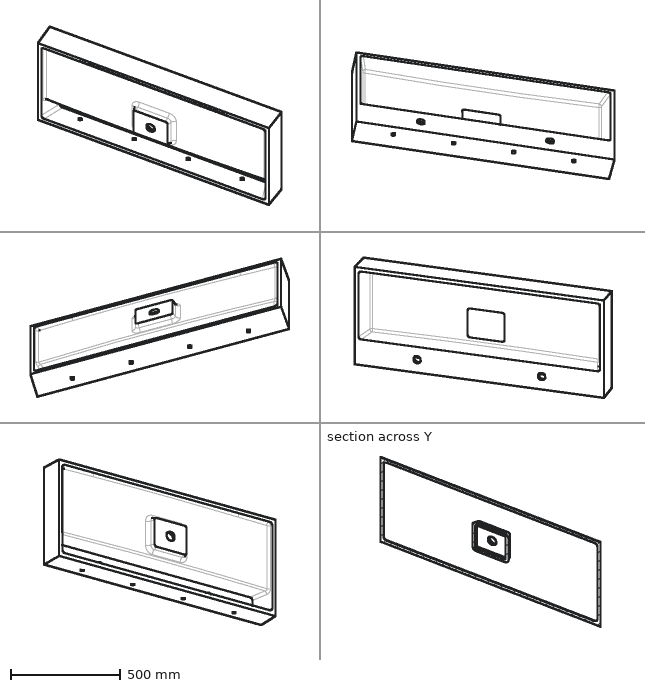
import cadquery as cq


WIDTH = 1202.0
DEPTH_Z = 486.0
HEIGHT = 120.0
SIDE_DRAFT = 2.0

OPENING_WIDTH = 1161.0
OPENING_DEPTH_Z = 442.0
OPENING_CORNER = 15.0
DECK_THICKNESS = 15.0
POCKET_DEPTH = HEIGHT - DECK_THICKNESS
POCKET_WIDTH = 1084.0

SHELL = 15.0
BOWL_DEPTH_AT_ENDS = 19.0
BOWL_DEPTH_AT_DRAIN = 8.0
BOWL_EDGE_Z = -114.0
BOWL_EDGE_AT_DECK_Z = -129.0
BOWL_TOP_WALL = 19.0
BOWL_EDGE_FILLET = 10.0
FLOOR_FILLET = 13.0
BOWL_CORNER_FILLET = 12.0

SUMP_FACE_WIDTH = 178.0
SUMP_FACE_DEPTH_Z = 144.0
SUMP_CENTRE_Z = -4.0
SUMP_DROP = 26.0
SUMP_DRAFT_ANGLE = 17
SUMP_CORNER = 12.0
SUMP_ROOT_FILLET = 20.0
DRAIN_DIAMETER = 45.0

COVER_THICKNESS = 7.0
COVER_LEDGE = 7.0

TAP_HOLE_DIAMETER = 35.0
TAP_HOLE_X = 300.0
TAP_HOLE_Z = -178.0
FIXING_HOLE_DIAMETER = 16.0
FIXING_HOLE_PITCH = 280.0
FIXING_HOLE_COUNT = 4
FIXING_HOLE_Y = 76.0

BOWL_FLOOR_Y = BOWL_DEPTH_AT_DRAIN + SHELL
SUMP_FLOOR_Y = SHELL - SUMP_DROP
SUMP_CAVITY_WIDTH = SUMP_FACE_WIDTH - SHELL
SUMP_CAVITY_DEPTH_Z = SUMP_FACE_DEPTH_Z - SHELL
SUMP_CAVITY_CORNER = SUMP_CORNER - SHELL / 2


def plane_at(y, z=0.0):
    """Plane parallel to XZ whose normal is +Y; its local y axis points to -Z."""
    return cq.Workplane(cq.Plane(origin=(0, y, z), xDir=(1, 0, 0), normal=(0, 1, 0)))


def rectangle(y, width, z_low, z_high):
    """Closed rectangle centred on x = 0 in the plane at height y."""
    half = width / 2
    corners = [(-half, y, z_low), (half, y, z_low), (half, y, z_high), (-half, y, z_high)]
    return cq.Wire.makePolygon([cq.Vector(*corner) for corner in corners], close=True)


def tapered_block(lower, upper):
    return cq.Workplane(cq.Solid.makeLoft([lower, upper], True))


def above_crowned_floor(offset, z_low, z_high):
    """Everything above the crowned bowl floor, raised by offset, between two Z values."""
    half = WIDTH / 2
    end_y = BOWL_DEPTH_AT_ENDS + offset
    return (
        cq.Workplane("XY", origin=(0, 0, z_low))
        .moveTo(-half, end_y)
        .threePointArc((0, BOWL_DEPTH_AT_DRAIN + offset), (half, end_y))
        .lineTo(half, HEIGHT)
        .lineTo(-half, HEIGHT)
        .close()
        .extrude(z_high - z_low)
    )


def outer_block():
    half_z = DEPTH_Z / 2
    return tapered_block(
        rectangle(0, WIDTH - 2 * SIDE_DRAFT, -half_z, half_z - SIDE_DRAFT),
        rectangle(HEIGHT, WIDTH, -half_z, half_z),
    )


def underside_recess():
    """Space inside the rim: shallow under the bowl, deep under the tap deck."""
    half_z = OPENING_DEPTH_Z / 2
    pocket = tapered_block(
        rectangle(0, OPENING_WIDTH, -half_z, half_z),
        rectangle(POCKET_DEPTH, POCKET_WIDTH, -half_z, half_z),
    )
    pocket = pocket.edges("not(#Y or |X or |Z)").fillet(OPENING_CORNER)
    bowl_side = tapered_block(
        rectangle(0, WIDTH, BOWL_EDGE_Z, DEPTH_Z),
        rectangle(HEIGHT, WIDTH, BOWL_EDGE_AT_DECK_Z, DEPTH_Z),
    )
    bowl = above_crowned_floor(0, -DEPTH_Z, DEPTH_Z).intersect(bowl_side)
    bowl_edge = cq.selectors.NearestToPointSelector((0, BOWL_DEPTH_AT_DRAIN, BOWL_EDGE_Z))
    bowl = bowl.edges(bowl_edge).fillet(BOWL_EDGE_FILLET)
    floor_rim = cq.selectors.BoxSelector(
        (-WIDTH, BOWL_DEPTH_AT_DRAIN / 2, BOWL_EDGE_Z / 2),
        (WIDTH, BOWL_DEPTH_AT_ENDS, DEPTH_Z),
    )
    return pocket.cut(bowl).edges(floor_rim).fillet(FLOOR_FILLET)


def bowl_cavity():
    """Washing side of the bowl, one shell thickness above its underside."""
    edge_z = BOWL_EDGE_Z + SHELL
    front_z = DEPTH_Z / 2 - BOWL_TOP_WALL
    top_edge_z = BOWL_EDGE_AT_DECK_Z + SHELL
    sides = tapered_block(
        rectangle(0, POCKET_WIDTH, edge_z, front_z),
        rectangle(HEIGHT, WIDTH - 2 * BOWL_TOP_WALL, top_edge_z, front_z),
    )
    cavity = sides.intersect(above_crowned_floor(SHELL, -DEPTH_Z, DEPTH_Z))
    return cavity.edges("not >Y").fillet(BOWL_CORNER_FILLET)


def add_sump(body):
    """Drafted box below the bowl floor, blended into it."""
    sump = (
        plane_at(-SUMP_DROP, SUMP_CENTRE_Z)
        .sketch()
        .rect(SUMP_FACE_WIDTH, SUMP_FACE_DEPTH_Z)
        .vertices()
        .fillet(SUMP_CORNER)
        .finalize()
        .extrude(SUMP_DROP + BOWL_FLOOR_Y, taper=-SUMP_DRAFT_ANGLE)
    )
    body = body.union(sump)
    reach_x = SUMP_FACE_WIDTH / 2 + SUMP_ROOT_FILLET
    reach_z = SUMP_FACE_DEPTH_Z / 2 + SUMP_ROOT_FILLET
    root = cq.selectors.BoxSelector(
        (-reach_x, BOWL_DEPTH_AT_DRAIN / 2, SUMP_CENTRE_Z - reach_z),
        (reach_x, BOWL_FLOOR_Y - SHELL / 2, SUMP_CENTRE_Z + reach_z),
    )
    return body.edges(root).fillet(SUMP_ROOT_FILLET)


def sump_cavity():
    return (
        plane_at(SUMP_FLOOR_Y, SUMP_CENTRE_Z)
        .rect(SUMP_CAVITY_WIDTH, SUMP_CAVITY_DEPTH_Z)
        .extrude(HEIGHT - SUMP_FLOOR_Y)
        .edges("|Y")
        .fillet(SUMP_CAVITY_CORNER)
    )


def cover_plate(thickness):
    """Plate resting on the ledge around the sump."""
    return (
        plane_at(BOWL_FLOOR_Y - COVER_THICKNESS, SUMP_CENTRE_Z)
        .rect(SUMP_CAVITY_WIDTH + 2 * COVER_LEDGE, SUMP_CAVITY_DEPTH_Z + 2 * COVER_LEDGE)
        .extrude(thickness)
        .edges("|Y")
        .fillet(SUMP_CAVITY_CORNER + COVER_LEDGE)
    )


def drain_hole():
    return plane_at(-SUMP_DROP, SUMP_CENTRE_Z).circle(DRAIN_DIAMETER / 2).extrude(SHELL)


def tap_holes():
    return (
        plane_at(0, TAP_HOLE_Z)
        .pushPoints([(-TAP_HOLE_X, 0), (TAP_HOLE_X, 0)])
        .circle(TAP_HOLE_DIAMETER / 2)
        .extrude(HEIGHT)
    )


def fixing_holes():
    """Row of holes through the wall-side edge of the basin."""
    first_x = -FIXING_HOLE_PITCH * (FIXING_HOLE_COUNT - 1) / 2
    centres = [(first_x + i * FIXING_HOLE_PITCH, FIXING_HOLE_Y) for i in range(FIXING_HOLE_COUNT)]
    return (
        cq.Workplane("XY", origin=(0, 0, -DEPTH_Z / 2))
        .pushPoints(centres)
        .circle(FIXING_HOLE_DIAMETER / 2)
        .extrude((DEPTH_Z - OPENING_DEPTH_Z) / 2)
    )


def make_basin():
    basin = outer_block().cut(underside_recess())
    basin = add_sump(basin)
    cover_rebate = cover_plate(HEIGHT)
    bowl_spaces = [bowl_cavity(), sump_cavity(), cover_rebate]
    holes = [drain_hole(), tap_holes(), fixing_holes()]
    for space in bowl_spaces + holes:
        basin = basin.cut(space)
    return basin.solids()


def make_drain_cover():
    return cover_plate(COVER_THICKNESS).solids()


basin = make_basin()
drain_cover = make_drain_cover()
result = cq.Compound.makeCompound([basin.val(), drain_cover.val()])